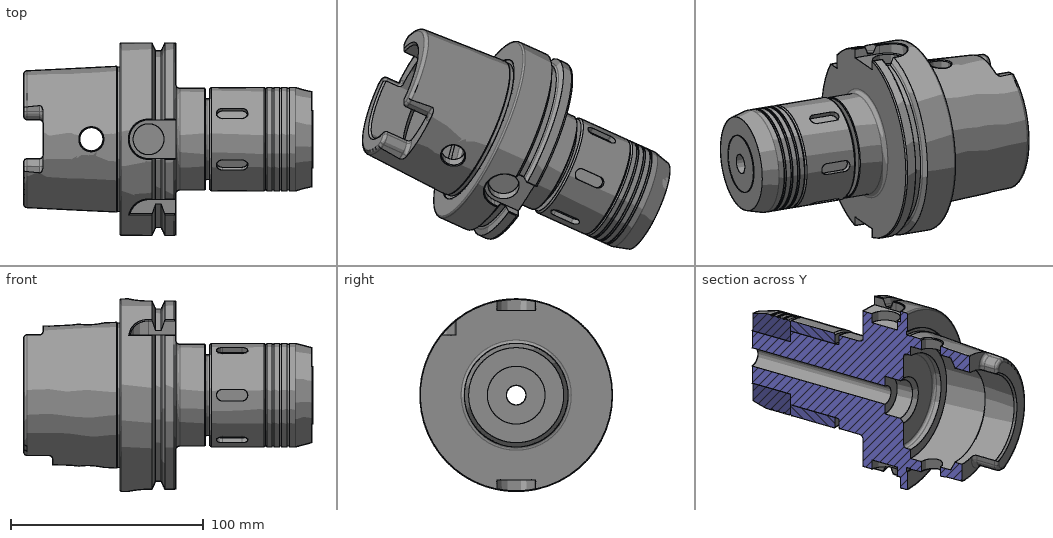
import cadquery as cq
import math


flange_start = 50.0
flange_end = 78.9
collar_end = 94.2
sleeve_start = 96.5
ring_start = 125.5
ring_end = 149.5
nose_end = 150.0

taper_large_diameter = 75.8
taper_ratio = 0.1
rim_radius = 1.8
relief_length = 1.8
relief_ramp = 0.5
relief_depth = 0.3
face_recess_diameter = 79.0
face_recess_depth = 0.6
cross_hole_x = 35.1
cross_hole_diameter = 12.0
cross_hole_chamfer = 0.52

bore_diameter = 53.0
bore_chamfer = 1.0
undercut_diameter = 63.0
undercut_start = 19.6
undercut_slope = 30
undercut_end = 48.0
cavity_end = 52.5
cavity_floor_radius = 1.6
counterbore_diameter = 21.0
counterbore_mouth_diameter = 25.4
counterbore_depth = 12.0
channel_diameter = 10.0

drive_slot_width = 20.1
drive_slot_height = 31.4
drive_slot_flare = 4.2
drive_slot_floor_radius = 2.0
drive_slot_edge_radius = 1.8
upper_drive_slot_depth = 10.0
lower_drive_slot_depth = 15.0

flange_diameter = 100.0
flange_edge_radius = 0.9
flange_back_chamfer_length = 0.9
flange_back_chamfer_depth = 0.3
groove_x = 69.9
groove_floor_width = 2.8
groove_knee_diameter = 94.2
groove_knee_width = 4.0
groove_mouth_width = 6.8
groove_diameter = 91.8

cutter_diameter = 20.1
seat_x = 64.8
seat_chamfer = 0.5
key_seat_floor = 44.0
pocket_diameter = 16.0
pocket_depth = 5.1
notch_y = -31.4
notch_floor = 31.2

collar_diameter = 53.0
collar_fillet = 2.1
collar_chamfer = 0.5
core_diameter = 42.0
core_fillet = 0.9
nose_diameter = 30.0

nut_diameter = 53.8
nut_edge_chamfer = 0.9
joint_chamfer = 0.8
window_count = 6
window_length = 16.2
window_width = 6.0
window_depth = 3.0
window_x = 108.2
ring_grip_count = 3
ring_grip_start = 129.5
ring_grip_pitch = 3.9
ring_grip_width = 1.0
ring_grip_diameter = 53.0
nose_cone_start = 141.0
nose_cone_diameter = 49.4


def revolve_about_x(outline):
    """Revolve a closed (x, radius) outline a full turn about the X axis."""
    return outline.close().revolve(360, (0, 0, 0), (1, 0, 0))


def cylinder_x(diameter, start, end):
    return cq.Workplane("YZ").workplane(offset=start).circle(diameter / 2).extrude(end - start)


def cylinder_z(diameter, x, y, bottom, top):
    return cq.Workplane("XY", origin=(x, y, bottom)).circle(diameter / 2).extrude(top - bottom)


def shank_body():
    """Solid taper shank, ending in a shallow relief in front of the flange."""
    large_radius = taper_large_diameter / 2
    taper_end = flange_start - relief_length
    small_radius = large_radius - taper_end * taper_ratio / 2
    relief_radius = large_radius - relief_depth
    relief_end = flange_start + face_recess_depth
    outline = (
        cq.Workplane("XY")
        .lineTo(0, small_radius)
        .lineTo(taper_end, large_radius)
        .lineTo(taper_end + relief_ramp, relief_radius)
        .lineTo(relief_end, relief_radius)
        .lineTo(relief_end, 0)
    )
    return revolve_about_x(outline)


def flange_body():
    """Gripper flange with the key seats and the notch milled into its rim."""
    disc = cylinder_x(flange_diameter, flange_start, flange_end)
    seats = key_seat().union(key_seat().mirror("XY")).union(orientation_notch())
    disc = disc.cut(seats).edges(RimEdges()).chamfer(seat_chamfer)
    recess = cylinder_x(face_recess_diameter, flange_start, flange_start + face_recess_depth)
    return disc.intersect(flange_envelope()).cut(recess).cut(gripper_groove())


def flange_envelope():
    """Plain flange disc with a rounded front edge and a slender chamfer at the back."""
    radius = flange_diameter / 2
    outline = (
        cq.Workplane("XY")
        .moveTo(flange_start, 0)
        .lineTo(flange_start, radius - flange_edge_radius)
        .radiusArc((flange_start + flange_edge_radius, radius), flange_edge_radius)
        .lineTo(flange_end - flange_back_chamfer_length, radius)
        .lineTo(flange_end, radius - flange_back_chamfer_depth)
        .lineTo(flange_end, 0)
    )
    return revolve_about_x(outline)


class RimEdges(cq.Selector):
    """Edges of the milled seats that lie on the cylindrical rim of the flange."""

    def filter(self, edges):
        return [edge for edge in edges if edge.geomType() != "CIRCLE" and on_rim(edge)]


def on_rim(edge):
    """True for an edge on the rim, apart from the full-width seam of the cylinder."""
    tolerance = 0.002
    seam = abs(edge.Length() - (flange_end - flange_start)) < tolerance
    ends = [edge.startPoint(), edge.endPoint()]
    return not seam and all(abs(math.hypot(p.y, p.z) - flange_diameter / 2) < tolerance for p in ends)


def gripper_groove():
    """Ring cutter: narrow straight-sided groove opening into a V-shaped mouth."""
    outer_radius = flange_diameter / 2
    floor_radius = groove_diameter / 2
    knee_radius = groove_knee_diameter / 2
    outline = (
        cq.Workplane("XY")
        .moveTo(groove_x - groove_floor_width / 2, floor_radius)
        .lineTo(groove_x - groove_knee_width / 2, knee_radius)
        .lineTo(groove_x - groove_mouth_width / 2, outer_radius)
        .lineTo(groove_x + groove_mouth_width / 2, outer_radius)
        .lineTo(groove_x + groove_knee_width / 2, knee_radius)
        .lineTo(groove_x + groove_floor_width / 2, floor_radius)
    )
    return revolve_about_x(outline)


def chuck_core():
    """Collar behind the flange, core inside the nut and nose through the end ring."""
    collar = (
        cylinder_x(collar_diameter, flange_end, collar_end)
        .faces(">X").edges().chamfer(collar_chamfer)
    )
    collar_radius = collar_diameter / 2
    fillet_outline = (
        cq.Workplane("XY")
        .moveTo(flange_end, 0)
        .lineTo(flange_end, collar_radius + collar_fillet)
        .radiusArc((flange_end + collar_fillet, collar_radius), -collar_fillet)
        .lineTo(flange_end + collar_fillet, 0)
    )
    core = cylinder_x(core_diameter, flange_end, ring_start)
    nose = cylinder_x(nose_diameter, flange_end, nose_end)
    core_radius = core_diameter / 2
    core_root = (
        cq.Workplane("XY")
        .moveTo(collar_end, 0)
        .lineTo(collar_end, core_radius + core_fillet)
        .radiusArc((collar_end + core_fillet, core_radius), -core_fillet)
        .lineTo(collar_end + core_fillet, 0)
    )
    return collar.union(revolve_about_x(fillet_outline)).union(revolve_about_x(core_root)).union(core).union(nose)


def shank_cavity():
    """Stepped cavity with a clamping undercut, plus the channel through the whole holder."""
    bore_radius = bore_diameter / 2
    undercut_radius = undercut_diameter / 2
    mouth_radius = bore_radius + bore_chamfer
    flare_length = (undercut_radius - bore_radius) * math.tan(math.radians(undercut_slope))
    floor_edge = bore_radius - cavity_floor_radius
    round_start = cavity_end - cavity_floor_radius
    counterbore_end = cavity_end + counterbore_depth
    mouth_cone = (counterbore_mouth_diameter - counterbore_diameter) / 2
    outline = (
        cq.Workplane("XY")
        .lineTo(0, mouth_radius)
        .lineTo(bore_chamfer, bore_radius)
        .lineTo(undercut_start, bore_radius)
        .lineTo(undercut_start + flare_length, undercut_radius)
        .lineTo(undercut_end, undercut_radius)
        .lineTo(undercut_end, bore_radius)
        .lineTo(round_start, bore_radius)
        .radiusArc((cavity_end, floor_edge), cavity_floor_radius)
        .lineTo(cavity_end, counterbore_mouth_diameter / 2)
        .lineTo(cavity_end + mouth_cone, counterbore_diameter / 2)
        .lineTo(counterbore_end, counterbore_diameter / 2)
        .lineTo(counterbore_end, 0)
    )
    channel = cylinder_x(channel_diameter, 0, nose_end)
    return revolve_about_x(outline).union(channel)


def drive_slot(depth, side):
    """Open-ended slot across one side (+1 up, -1 down) of the shank end, all its edges rounded."""
    half = drive_slot_width / 2
    flared = half + drive_slot_flare
    flare_start = drive_slot_height - drive_slot_flare
    outer = flange_diameter / 2
    slot = (
        cq.Workplane("YZ")
        .moveTo(-half, 0)
        .lineTo(-half, flare_start)
        .radiusArc((-flared, drive_slot_height), -drive_slot_flare)
        .lineTo(-outer, drive_slot_height)
        .lineTo(-outer, outer)
        .lineTo(outer, outer)
        .lineTo(outer, drive_slot_height)
        .lineTo(flared, drive_slot_height)
        .radiusArc((half, flare_start), -drive_slot_flare)
        .lineTo(half, 0)
        .close()
        .extrude(depth)
        .faces(">X").edges().fillet(drive_slot_floor_radius)
    )
    block = cq.Workplane("XY").box(depth, 2 * outer, outer, centered=(False, True, False))
    lugs = block.cut(slot)
    lugs = lugs.faces("<X").edges(inside_block(outer)).fillet(drive_slot_edge_radius)
    cutter = block.cut(lugs)
    return cutter if side > 0 else cutter.mirror("XY")


def inside_block(outer):
    """Selector for edges whose middle lies off the faces of the lug block."""
    reach = drive_slot_width / 2 + drive_slot_flare + 0.5 * outer
    return cq.selectors.BoxSelector((-1.5, -reach, 1.5), (1.5, reach, drive_slot_height + 1.5))


def seat_in_rim(centre_y, floor):
    """Flat-floored seat milled down into the rim, open toward the chuck end."""
    length = flange_end + 1.5 - seat_x
    seat = cylinder_z(cutter_diameter, seat_x, centre_y, floor, flange_diameter / 2)
    run = (
        cq.Workplane("XY", origin=(seat_x, centre_y, floor))
        .box(length, cutter_diameter, flange_diameter / 2 - floor, centered=(False, True, False))
    )
    return seat.union(run)


def holder_body():
    shank = shank_body().faces("<X").edges().fillet(rim_radius)
    shank = shank.cut(cross_hole()).edges(HoleMouthEdges()).chamfer(cross_hole_chamfer)
    holder = shank.union(flange_body()).union(chuck_core())
    holder = holder.cut(shank_cavity())
    return holder.cut(drive_slot(upper_drive_slot_depth, 1)).cut(drive_slot(lower_drive_slot_depth, -1))


def key_seat():
    """Drive key seat with a blind round pocket in its floor."""
    pocket = cylinder_z(pocket_diameter, seat_x, 0, key_seat_floor - pocket_depth, key_seat_floor)
    return seat_in_rim(0, key_seat_floor).union(pocket)


def orientation_notch():
    return seat_in_rim(notch_y - cutter_diameter / 2, notch_floor)


def cross_hole():
    """Hole right through both shank walls."""
    reach = flange_diameter / 2
    return cylinder_z(cross_hole_diameter, cross_hole_x, 0, -reach, reach)


class HoleMouthEdges(cq.Selector):
    """The two curved edges where the cross hole breaks the shank surface."""

    def filter(self, edges):
        radius = cross_hole_diameter / 2
        return [
            edge for edge in edges
            if edge.geomType() != "LINE" and abs(edge.Center().x - cross_hole_x) < radius
        ]


def nut_sleeve():
    sleeve = cylinder_x(nut_diameter, sleeve_start, ring_start)
    sleeve = sleeve.faces("<X").edges().chamfer(nut_edge_chamfer)
    sleeve = sleeve.faces(">X").edges().chamfer(joint_chamfer)
    sleeve = sleeve.cut(cylinder_x(core_diameter, sleeve_start, ring_start))
    for index in range(window_count):
        sleeve = sleeve.cut(window().rotate((0, 0, 0), (1, 0, 0), index * 360 / window_count))
    return sleeve


def window():
    """Blind oblong pocket for the wrench, sunk from the -Y side."""
    outer = nut_diameter / 2
    return (
        cq.Workplane("XZ", origin=(window_x, -outer + window_depth, 0))
        .slot2D(window_length, window_width)
        .extrude(window_depth)
    )


def end_ring():
    ring = cylinder_x(nut_diameter, ring_start, nose_cone_start)
    ring = ring.faces("<X").edges().chamfer(joint_chamfer)
    cone_length = ring_end - nose_cone_start
    cone = cq.Workplane("XY").add(
        cq.Solid.makeCone(nut_diameter / 2, nose_cone_diameter / 2, cone_length,
                          cq.Vector(nose_cone_start, 0, 0), cq.Vector(1, 0, 0))
    )
    ring = ring.union(cone)
    for index in range(ring_grip_count):
        start = ring_grip_start + index * ring_grip_pitch - ring_grip_width / 2
        end = start + ring_grip_width
        groove = cylinder_x(nut_diameter, start, end).cut(cylinder_x(ring_grip_diameter, start, end))
        ring = ring.cut(groove)
    return ring.cut(cylinder_x(nose_diameter, ring_start, ring_end))


holder = holder_body()
sleeve = nut_sleeve()
ring = end_ring()
result = cq.Compound.makeCompound([holder.val(), sleeve.val(), ring.val()])